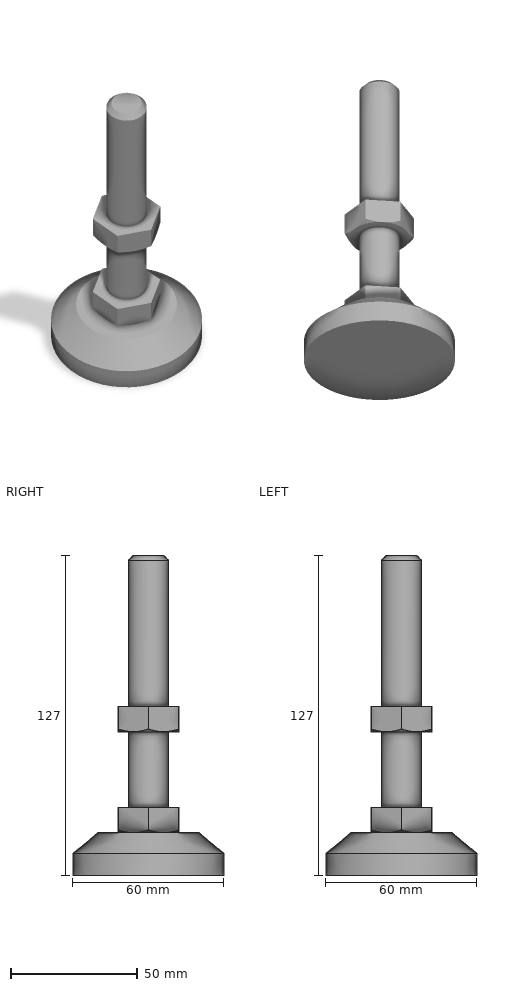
import cadquery as cq
import math

total_height = 127.0

foot_diameter = 60.0
foot_top_diameter = 40.0
foot_height = 17.0
rim_height = 8.8

stud_diameter = 16.0
tip_chamfer = 2.0

hex_across_flats = 24.0
hex_across_corners = hex_across_flats / math.cos(math.pi / 6)
hex_height = 10.0
hex_chamfer_angle = 30.0

nut_bottom = 57.0


def hexagon(bottom):
    """Hexagonal prism with its lower corners trimmed by a cone."""
    prism = cq.Workplane("XY").polygon(6, hex_across_corners).extrude(hex_height)
    bottom_radius = hex_across_flats / 2
    corner_radius = hex_across_corners / 2
    trim_height = (corner_radius - bottom_radius) * math.tan(math.radians(hex_chamfer_angle))
    envelope = (
        cq.Workplane("XZ")
        .moveTo(0, 0)
        .lineTo(bottom_radius, 0)
        .lineTo(corner_radius, trim_height)
        .lineTo(corner_radius, hex_height)
        .lineTo(0, hex_height)
        .close()
        .revolve(360, (0, 0, 0), (0, 1, 0))
    )
    return prism.intersect(envelope).translate((0, 0, bottom))


def make_foot():
    """Solid round foot with a flat bottom and a flat seat on top."""
    return (
        cq.Workplane("XZ")
        .moveTo(0, 0)
        .lineTo(foot_diameter / 2, 0)
        .lineTo(foot_diameter / 2, rim_height)
        .lineTo(foot_top_diameter / 2, foot_height)
        .lineTo(0, foot_height)
        .close()
        .revolve(360, (0, 0, 0), (0, 1, 0))
    )


def make_stud():
    """Round stud with a chamfered tip and a wrench collar resting on the foot."""
    shank = (
        cq.Workplane("XY", origin=(0, 0, foot_height))
        .circle(stud_diameter / 2)
        .extrude(total_height - foot_height)
        .faces(">Z")
        .chamfer(tip_chamfer)
    )
    return shank.union(hexagon(foot_height))


def make_lock_nut():
    """Hexagonal nut bored to fit around the stud."""
    bore = (
        cq.Workplane("XY", origin=(0, 0, nut_bottom))
        .circle(stud_diameter / 2)
        .extrude(hex_height)
    )
    return hexagon(nut_bottom).cut(bore)


foot = make_foot()
stud = make_stud()
lock_nut = make_lock_nut()

result = cq.Compound.makeCompound([foot.val(), stud.val(), lock_nut.val()])